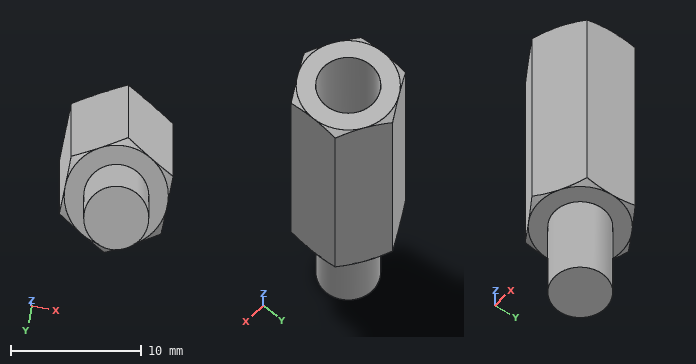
import cadquery as cq
import math

side_count = 6
across_flats = 8.0
hex_length = 20.0
chamfer_angle = 30.0

thread_diameter = 5.0
bore_depth = hex_length / 2
stud_length = 8.0

half_side_angle = 180 / side_count
flat_radius = across_flats / 2
corner_radius = flat_radius / math.cos(math.radians(half_side_angle))
chamfer_height = (corner_radius - flat_radius) * math.tan(math.radians(chamfer_angle))


def make_chamfer_envelope():
    """Round bar with coned ends that trims the hexagon's corners."""
    return (
        cq.Workplane("XZ")
        .moveTo(0, 0)
        .lineTo(flat_radius, 0)
        .lineTo(corner_radius, chamfer_height)
        .lineTo(corner_radius, hex_length - chamfer_height)
        .lineTo(flat_radius, hex_length)
        .lineTo(0, hex_length)
        .close()
        .revolve(360, (0, 0), (0, 1))
    )


def make_hex_body():
    """Hexagonal spacer with chamfered corners and a blind bore from the top."""
    hexagon = (
        cq.Workplane("XY")
        .polygon(side_count, 2 * corner_radius)
        .extrude(hex_length)
        .rotate((0, 0, 0), (0, 0, 1), half_side_angle)
    )
    bore = (
        cq.Workplane("XY", origin=(0, 0, hex_length - bore_depth))
        .circle(thread_diameter / 2)
        .extrude(bore_depth)
    )
    return hexagon.intersect(make_chamfer_envelope()).cut(bore).solids()


def make_stud():
    """Plain round stud standing against the lower face of the hexagonal body."""
    return cq.Workplane("XY").circle(thread_diameter / 2).extrude(-stud_length)


hex_body = make_hex_body()
stud = make_stud()

result = cq.Compound.makeCompound([hex_body.val(), stud.val()])